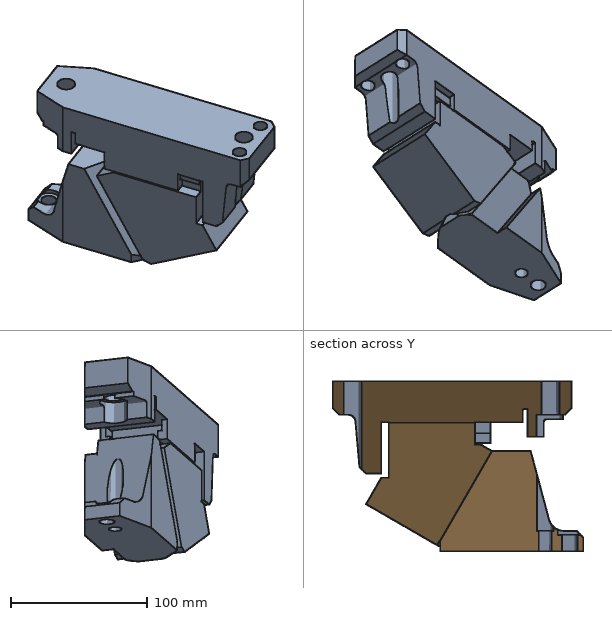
import cadquery as cq
import math

width = 52.0
half_width = width / 2
length = 184.0
height = 125.0

taper_end_x = 34.0
taper_angle = 20.0

slope_angle = 60.0
flank_angle = 30.0
guide_top_x = 51.5
base_top_z = 73.8
ridge_height = 13.6
ridge_half_top = half_width - ridge_height / math.tan(math.radians(flank_angle))

foot_z = 15.0
foot_chamfer = 5.0
foot_fillet = 11.0
base_wall_top_x = 38.6
base_wall_angle = 75.0
base_end_x = 105.0
base_corner_chamfer = 15.0
bolt_x = 10.0
bolt_diameter = 11.2
bolt_head_diameter = 17.7
bolt_head_floor_z = 12.1
dowel_x = 28.0
dowel_diameter = 12.0
dowel_exit_diameter = 9.4
dowel_floor_z = foot_z
recess_depth = 19.1
recess_inner_y = 17.1

slide_gap = 7.4
slide_start = 8.0
slide_end = 88.0
slide_thickness = 66.6
slide_tip_chamfer = 5.0
slide_top_z = 78.4
slide_face_x = 143.0
slide_ledge_z = 54.1
key_start_x = 79.5
key_stem_width = 36.0
key_head_width = 42.0
lip_top_z = 86.5

nose_x = 8.6
end_chamfer = 5.0
end_chamfer_z = 100.1
nose_step_x = 14.9
nose_step_z = 96.8
tooth_start_x = 28.9
tooth_end_x = 41.0
tooth_z = 84.0
tooth_fillet = 1.7
groove_end_x = 44.3
groove_top_z = 104.3
groove_fillet = 1.0
slot_ceiling_z = 94.5
rail_start_x = 68.0
rail_end_x = 128.0
rail_z = 79.5
leg_start_x = 148.3
leg_z = 57.0
leg_chamfer = 5.0
leg_top_x = 167.8
leg_draft = 5.0
leg_fillet = 5.0
stem_slot_width = 37.4
head_slot_width = 43.8
pin_hole_diameter = 13.0
front_pin_x = 24.1
front_counterbore_diameter = 20.5
rear_pin_x = 169.3
screw_x = 174.2
screw_y = 17.5
screw_diameter = 10.1


def side_profile(points):
    """Extrude a closed XZ outline over the full width, centred on y = 0."""
    return cq.Workplane("XZ").polyline(points).close().extrude(half_width, both=True)


def fillet_corner(body, x, z, radius):
    """Round the full-width edge that passes through (x, z)."""
    return body.edges(cq.selectors.NearestToPointSelector((x, 0, z))).fillet(radius)


def box(x0, x1, y0, y1, z0, z1):
    """Box between two corners."""
    return cq.Workplane("XY").box(x1 - x0, y1 - y0, z1 - z0, centered=False).translate((x0, y0, z0))


def cylinder(x, y, diameter, z0, z1):
    """Vertical cylinder between two levels."""
    return cq.Workplane("XY", origin=(x, y, z0)).circle(diameter / 2).extrude(z1 - z0)


def nose_plan(right_end_x, right_chamfer):
    """Full-height prism with the plan outline: tapered nose at -X, chamfered corners at +X."""
    nose_half_width = half_width - taper_end_x * math.tan(math.radians(taper_angle))
    outline = [
        (0, -nose_half_width),
        (taper_end_x, -half_width),
        (right_end_x - right_chamfer, -half_width),
        (right_end_x, -half_width + right_chamfer),
        (right_end_x, half_width - right_chamfer),
        (right_end_x - right_chamfer, half_width),
        (taper_end_x, half_width),
        (0, nose_half_width),
    ]
    return cq.Workplane("XY").polyline(outline).close().extrude(height)


slope_cos = math.cos(math.radians(slope_angle))
slope_sin = math.sin(math.radians(slope_angle))


def guide_point(along, out):
    """XZ point at a distance down the guide and a distance square to it, from the guide's top edge."""
    return (
        guide_top_x + along * slope_cos + out * slope_sin,
        base_top_z - along * slope_sin + out * slope_cos,
    )


def guide_prism(outline):
    """Long prism down the guide from a (y, out) cross-section."""
    plane = cq.Plane(
        origin=(guide_top_x, 0, base_top_z),
        xDir=(0, 1, 0),
        normal=(slope_cos, 0, -slope_sin),
    )
    return cq.Workplane(plane).workplane(offset=-length).polyline(outline).close().extrude(2 * length)


def make_base():
    """Base: bolted foot, leaning wall and a V-ridge running down the slope."""
    wall_foot_x = base_wall_top_x - (base_top_z - foot_z) / math.tan(math.radians(base_wall_angle))
    base = side_profile([
        (0, 0),
        (base_end_x, 0),
        (base_end_x, base_top_z),
        (base_wall_top_x, base_top_z),
        (wall_foot_x, foot_z),
        (foot_chamfer, foot_z),
        (0, foot_z - foot_chamfer),
    ])
    base = fillet_corner(base, wall_foot_x, foot_z, foot_fillet)
    base = base.intersect(nose_plan(base_end_x, base_corner_chamfer))

    above_ridge = guide_prism([
        (-half_width, 0),
        (-ridge_half_top, ridge_height),
        (ridge_half_top, ridge_height),
        (half_width, 0),
        (half_width, length),
        (-half_width, length),
    ])
    base = base.cut(above_ridge)

    base = base.cut(cylinder(bolt_x, 0, bolt_diameter, 0, base_top_z))
    base = base.cut(cylinder(bolt_x, 0, bolt_head_diameter, bolt_head_floor_z, base_top_z))
    base = base.cut(cylinder(dowel_x, 0, dowel_exit_diameter, 0, base_top_z))
    base = base.cut(cylinder(dowel_x, 0, dowel_diameter, dowel_floor_z, base_top_z))

    recess = guide_prism([
        (recess_inner_y, -recess_depth),
        (half_width, -recess_depth),
        (half_width, length),
        (recess_inner_y, length),
    ])
    return base.cut(recess)


def make_slide():
    """Slide: block with a V-groove on the guide and a T-key on top."""
    slide_back = slide_gap + slide_thickness
    top_corner_out = (slide_top_z - base_top_z + slide_start * slope_sin) / slope_cos
    ledge_along = (base_top_z + slide_back * slope_cos - slide_ledge_z) / slope_sin
    slide = side_profile([
        guide_point(slide_start, slide_gap),
        guide_point(slide_end - slide_tip_chamfer, slide_gap),
        guide_point(slide_end, slide_gap + slide_tip_chamfer),
        guide_point(slide_end, slide_back),
        guide_point(ledge_along, slide_back),
        (slide_face_x, slide_ledge_z),
        (slide_face_x, slide_top_z),
        guide_point(slide_start, top_corner_out),
    ])
    groove = guide_prism([
        (-half_width, 0),
        (half_width, 0),
        (ridge_half_top, ridge_height),
        (-ridge_half_top, ridge_height),
    ])
    slide = slide.cut(groove)

    stem_y = key_stem_width / 2
    head_y = key_head_width / 2
    slide = slide.union(box(key_start_x, slide_face_x, -stem_y, stem_y, slide_top_z, lip_top_z))
    return slide.union(box(key_start_x, slide_face_x, -head_y, head_y, lip_top_z, slot_ceiling_z))


def make_holder():
    """Holder: top plate with a front tooth, slotted rails for the key and a rear leg."""
    draft = math.tan(math.radians(leg_draft))
    leg_tip_x = leg_top_x - (end_chamfer_z - leg_z - leg_chamfer) * draft
    holder = side_profile([
        (nose_x, height),
        (nose_x, end_chamfer_z + end_chamfer),
        (nose_x + end_chamfer, end_chamfer_z),
        (nose_step_x, end_chamfer_z),
        (nose_step_x, nose_step_z),
        (tooth_start_x, nose_step_z),
        (tooth_start_x, tooth_z),
        (tooth_end_x, tooth_z),
        (tooth_end_x, groove_top_z),
        (groove_end_x, groove_top_z),
        (groove_end_x, slot_ceiling_z),
        (rail_start_x, slot_ceiling_z),
        (rail_start_x, rail_z),
        (rail_end_x, rail_z),
        (rail_end_x, slot_ceiling_z),
        (leg_start_x, slot_ceiling_z),
        (leg_start_x, leg_z),
        (leg_tip_x - leg_chamfer, leg_z),
        (leg_tip_x, leg_z + leg_chamfer),
        (leg_top_x, end_chamfer_z),
        (length - end_chamfer, end_chamfer_z),
        (length, end_chamfer_z + end_chamfer),
        (length, height),
    ])
    holder = fillet_corner(holder, leg_top_x, end_chamfer_z, leg_fillet)
    holder = fillet_corner(holder, tooth_start_x, nose_step_z, tooth_fillet)
    holder = fillet_corner(holder, groove_end_x, groove_top_z, groove_fillet)
    holder = holder.intersect(nose_plan(length, end_chamfer))

    stem_y = stem_slot_width / 2
    head_y = head_slot_width / 2
    holder = holder.cut(box(rail_start_x, rail_end_x, -stem_y, stem_y, rail_z, slot_ceiling_z))
    holder = holder.cut(box(rail_start_x, rail_end_x, -head_y, head_y, lip_top_z, slot_ceiling_z))

    for pin_x in (front_pin_x, rear_pin_x):
        holder = holder.cut(cylinder(pin_x, 0, pin_hole_diameter, 0, height))
    for y in (-screw_y, screw_y):
        holder = holder.cut(cylinder(screw_x, y, screw_diameter, 0, height))
    return holder.cut(cylinder(front_pin_x, 0, front_counterbore_diameter, 0, end_chamfer_z))


base = make_base()
slide = make_slide()
holder = make_holder()

result = cq.Compound.makeCompound([base.val(), slide.val(), holder.val()])